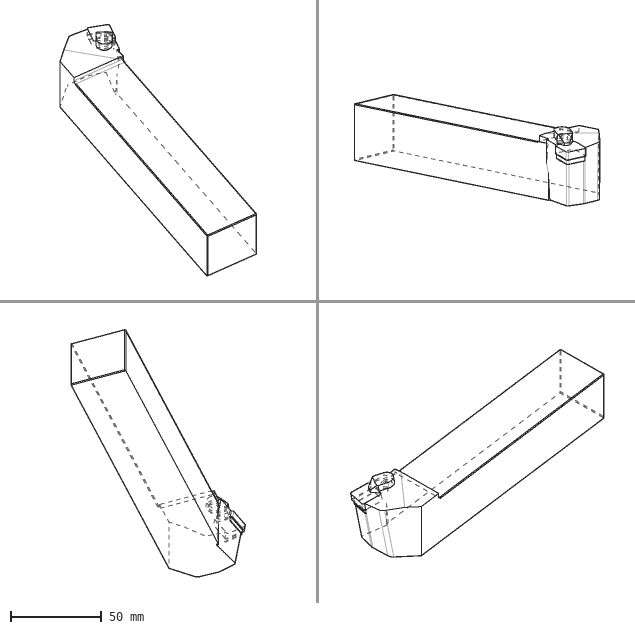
import cadquery as cq
import math

total_length = 170.0
shank_width = 32.1
shank_height = 32.0
shank_chamfer = 0.5

land_height = 35.9
land_end = 31.3
step_radius = 1.4
head_back = 24.5
corner_sum = 16.7
front_face_x = 1.0
front_corner_radius = 4.6
side_corner_radius = 4.0

hinge_x = 10.2
tip_angle = 8.3

insert_side = 12.8
insert_thickness = 4.8
nose_radius = 1.0
insert_turn = 15.0
insert_tip = (2.9, 40.5)
shim_thickness = 2.9
shim_inset = 0.7
body_inset = 1.0
seat_length = 12.0

clamp_height = 5.5
clamp_turn = -31.0
clamp_origin = (13.5, 30.5)
clamp_half_width = 4.5
clamp_round_center = 6.5
clamp_nose = 3.7
clamp_nose_half_width = 1.5
clamp_nose_height = 1.4
clamp_shoulder_start = 0.7
clamp_gap = 1.4
clamp_post_radius = 3.0

margin = 17.0
prism_depth = land_height + margin
hinge_y = corner_sum - hinge_x


def tip(shape):
    """Tip a flat-built shape down towards the cutting corner."""
    start = (hinge_x, hinge_y, land_height)
    end = (hinge_x + 1.7, hinge_y + 1.7, land_height)
    return shape.rotate(start, end, -tip_angle)


def seat_point(along, down):
    """Point measured from the cutting corner along the insert's two sides."""
    turn = math.radians(insert_turn)
    x = insert_tip[0] + along * math.cos(turn) - down * math.sin(turn)
    y = insert_tip[1] - along * math.sin(turn) - down * math.cos(turn)
    return x, y


def square_block(inset, depth, thickness):
    """Rounded square under the insert outline, inset on its exposed sides."""
    corners = [
        seat_point(inset, inset),
        seat_point(insert_side, inset),
        seat_point(insert_side, insert_side),
        seat_point(inset, insert_side),
    ]
    block = (
        cq.Workplane("XY", origin=(0, 0, land_height - depth))
        .polyline(corners).close().extrude(-thickness)
    )
    return block.edges("|Z").fillet(nose_radius)


def make_insert():
    return tip(square_block(0, 0, insert_thickness))


def make_head():
    wall_length = (head_back - seat_point(0, body_inset)[0]) / math.cos(math.radians(insert_turn))
    wall_end = seat_point(wall_length, body_inset)
    front_corner = (front_face_x, corner_sum - front_face_x)
    nose_corner = seat_point(body_inset, body_inset)
    side_corner = seat_point(body_inset, seat_length)
    outline = [
        nose_corner,
        side_corner,
        front_corner,
        (corner_sum + margin, -margin),
        (land_end + margin, -margin),
        (land_end + margin, shank_width),
        (head_back, shank_width),
        wall_end,
    ]
    prism = cq.Workplane("XY", origin=(0, 0, land_height)).polyline(outline).close().extrude(-prism_depth)

    def edge_at(point):
        return cq.selectors.NearestToPointSelector((*point, land_height - prism_depth / 2))

    prism = prism.edges(edge_at(front_corner)).fillet(front_corner_radius)
    prism = prism.edges(edge_at(nose_corner)).fillet(nose_radius)
    prism = prism.edges(edge_at(side_corner)).fillet(side_corner_radius)
    shim = square_block(shim_inset, insert_thickness, shim_thickness)
    return tip(prism.union(shim))


def make_envelope():
    """Side profile that trims the tipped head, with the concave step at its rear."""
    bend = step_radius * (1 - math.sqrt(0.5))
    return (
        cq.Workplane("XZ")
        .moveTo(-margin, 0)
        .lineTo(land_end + margin / 2, 0)
        .lineTo(land_end + margin / 2, shank_height)
        .lineTo(land_end + step_radius, shank_height)
        .threePointArc(
            (land_end + bend, shank_height + bend),
            (land_end, shank_height + step_radius),
        )
        .lineTo(land_end, land_height)
        .lineTo(-margin, land_height)
        .close()
        .extrude(-(shank_width + margin))
    )


def make_shank():
    shank = cq.Workplane("XY").box(
        total_length - head_back, shank_width, shank_height, centered=False
    ).translate((head_back, 0, 0))
    return shank.faces(">X").edges().chamfer(shank_chamfer)


def make_long_edge_chamfers():
    """Triangular bars that bevel the shank's two long upper edges behind the step."""
    start = land_end + step_radius
    bars = cq.Workplane("YZ")
    for edge_y, inward in ((0, 1), (shank_width, -1)):
        bar = (
            cq.Workplane("YZ", origin=(start, edge_y, shank_height))
            .polyline([(0, 0), (inward * shank_chamfer, 0), (0, -shank_chamfer)]).close()
            .extrude(total_length - start)
        )
        bars = bars.add(bar)
    return bars.combine()


def make_clamp():
    outline = (
        cq.Workplane("XY")
        .moveTo(-clamp_nose, -clamp_nose_half_width)
        .lineTo(clamp_shoulder_start, -clamp_half_width)
        .lineTo(clamp_round_center, -clamp_half_width)
        .threePointArc(
            (clamp_round_center + clamp_half_width, 0),
            (clamp_round_center, clamp_half_width),
        )
        .lineTo(clamp_shoulder_start, clamp_half_width)
        .lineTo(-clamp_nose, clamp_nose_half_width)
        .close()
        .extrude(clamp_height)
    )
    slope = (
        cq.Workplane("XZ")
        .moveTo(0, clamp_height)
        .lineTo(-clamp_nose, clamp_nose_height)
        .lineTo(-clamp_nose, clamp_height)
        .close()
        .extrude(clamp_half_width, both=True)
    )
    length = clamp_round_center + clamp_half_width
    gap = (
        cq.Workplane("XY")
        .box(length, 2 * clamp_half_width, clamp_gap, centered=(False, True, False))
        .translate((clamp_shoulder_start, 0, 0))
    )
    post = cq.Workplane("XY").center(clamp_round_center, 0).circle(clamp_post_radius).extrude(clamp_gap)
    clamp = outline.cut(slope).cut(gap.cut(post)).rotate((0, 0, 0), (0, 0, 1), clamp_turn)
    return tip(clamp.translate((*clamp_origin, land_height)))


insert = make_insert()
holder = make_head().intersect(make_envelope()).union(make_shank())
holder = holder.cut(make_long_edge_chamfers()).cut(insert).union(make_clamp())

result = cq.Compound.makeCompound([holder.val(), insert.val()])